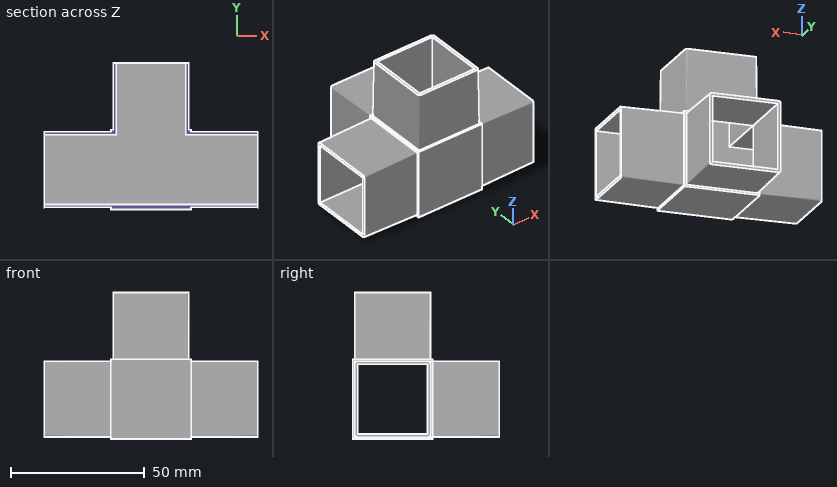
import cadquery as cq

CUBE_SIDE = 30.0
ARM_LENGTH = 25.0
ARM_SIDE = 28.4
BORE_SIDE = 26.0
ROOT_CORNER_RADIUS = 0.01
TIP_CORNER_RADIUS = 1.0

HALF_CUBE = CUBE_SIDE / 2
ARM_DIRECTIONS = [(1, 0, 0), (-1, 0, 0), (0, 1, 0), (0, 0, 1)]


def arm_plane(direction, distance):
    """Plane square to an arm, at a distance from the cube centre."""
    origin = tuple(distance * component for component in direction)
    x_direction = (0, 1, 0) if direction[0] else (1, 0, 0)
    return cq.Plane(origin=origin, xDir=x_direction, normal=direction)


def rounded_square(radius):
    return cq.Sketch().rect(ARM_SIDE, ARM_SIDE).vertices().fillet(radius)


def arm(direction):
    """Solid arm whose long edges grow rounder from the cube to the tip."""
    return (
        cq.Workplane(arm_plane(direction, HALF_CUBE))
        .placeSketch(
            rounded_square(ROOT_CORNER_RADIUS),
            rounded_square(TIP_CORNER_RADIUS).moved(cq.Location(cq.Vector(0, 0, ARM_LENGTH))),
        )
        .loft(ruled=True)
    )


def bore(direction):
    """Square passage from the centre of the cube out through an arm."""
    return (
        cq.Workplane(arm_plane(direction, 0))
        .rect(BORE_SIDE, BORE_SIDE)
        .extrude(HALF_CUBE + ARM_LENGTH)
    )


body = cq.Workplane("XY").box(CUBE_SIDE, CUBE_SIDE, CUBE_SIDE)
for arm_direction in ARM_DIRECTIONS:
    body = body.union(arm(arm_direction))

body = body.cut(cq.Workplane("XY").box(BORE_SIDE, BORE_SIDE, BORE_SIDE))
for arm_direction in ARM_DIRECTIONS:
    body = body.cut(bore(arm_direction))

result = body